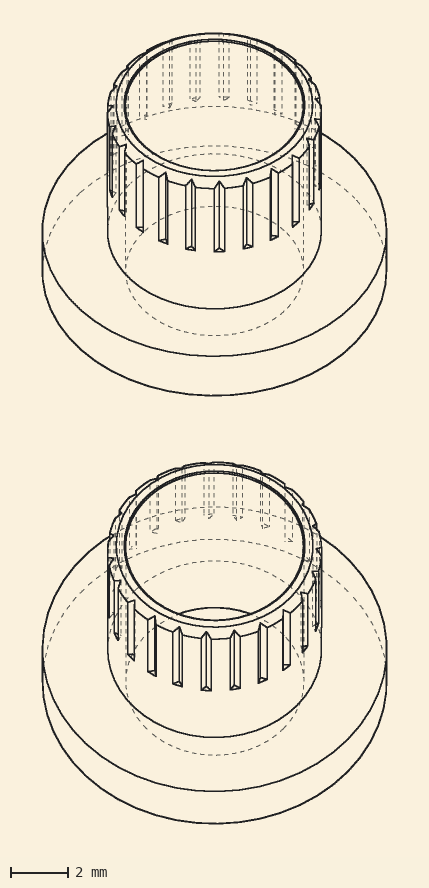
import cadquery as cq
import math

flange_diameter = 12.0
flange_thickness = 2.0
total_height = 8.4
sleeve_diameter = 7.45
sleeve_radius = sleeve_diameter / 2
tip_chamfer = 0.3

bore_diameter = 6.2
bore_chamfer = 0.05

groove_count = 23
groove_length = 3.5
groove_depth = 0.18
groove_angle = 90.0
first_groove_direction = 90.0


def flanged_sleeve():
    """Round flange with a chamfered sleeve standing on it."""
    flange = cq.Workplane("XY").circle(flange_diameter / 2).extrude(flange_thickness)
    sleeve = cq.Workplane("XY").circle(sleeve_radius).extrude(total_height)
    return flange.union(sleeve.faces(">Z").chamfer(tip_chamfer))


def bore_cutter():
    """Straight bore that widens into a chamfer at the sleeve tip."""
    radius = bore_diameter / 2
    profile = [
        (0, 0),
        (radius, 0),
        (radius, total_height - bore_chamfer),
        (radius + bore_chamfer, total_height),
        (0, total_height),
    ]
    return cq.Workplane("XZ").polyline(profile).close().revolve(360, (0, 0, 0), (0, 1, 0))


def knurl_groove_cutter(direction):
    """Vertical V groove with its root pointing at the sleeve axis."""
    root_radius = sleeve_radius - groove_depth
    outer_radius = sleeve_radius + groove_depth
    half_width = (outer_radius - root_radius) * math.tan(math.radians(groove_angle / 2))
    return (
        cq.Workplane("XY")
        .workplane(offset=total_height - groove_length)
        .moveTo(root_radius, 0)
        .lineTo(outer_radius, -half_width)
        .lineTo(outer_radius, half_width)
        .close()
        .extrude(groove_length)
        .rotate((0, 0, 0), (0, 0, 1), direction)
    )


result = flanged_sleeve().cut(bore_cutter())
for index in range(groove_count):
    groove_direction = first_groove_direction + index * 360 / groove_count
    result = result.cut(knurl_groove_cutter(groove_direction))